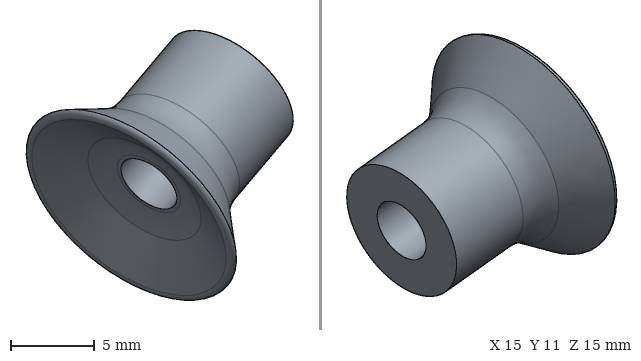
import cadquery as cq
import math

LENGTH = 11.0
LIP_OUTER_RADIUS = 7.5
NECK_RADIUS = 4.5
BORE_RADIUS = 2.0
SEAT_RADIUS = 2.27

FLARE_ANGLE = math.radians(40)
FLARE_BLEND = 3.5
CUP_ANGLE = math.radians(30)
CUP_BLEND = 3.57
LIP_ROUND = 0.36


def arc_point(centre, radius, angle):
    """Point (y, r) on an arc; the angle is measured from the outward radial direction toward +Y."""
    centre_y, centre_r = centre
    return (centre_y + radius * math.sin(angle), centre_r + radius * math.cos(angle))


def make_profile():
    """Half section in the YZ plane, with points given as (y, r)."""
    lip_centre = (LIP_ROUND, LIP_OUTER_RADIUS - LIP_ROUND)
    lip_outer = arc_point(lip_centre, LIP_ROUND, 0)
    lip_front = arc_point(lip_centre, LIP_ROUND, -math.pi / 2)
    lip_inner = arc_point(lip_centre, LIP_ROUND, -math.pi / 2 - CUP_ANGLE)

    flare_centre_r = NECK_RADIUS + FLARE_BLEND
    cone_top_r = flare_centre_r - FLARE_BLEND * math.cos(FLARE_ANGLE)
    cone_top_y = lip_outer[0] + (lip_outer[1] - cone_top_r) / math.tan(FLARE_ANGLE)
    neck_start_y = cone_top_y + FLARE_BLEND * math.sin(FLARE_ANGLE)
    flare_centre = (neck_start_y, flare_centre_r)
    neck_start = arc_point(flare_centre, FLARE_BLEND, math.pi)
    flare_mid = arc_point(flare_centre, FLARE_BLEND, math.pi + FLARE_ANGLE / 2)
    cone_top = arc_point(flare_centre, FLARE_BLEND, math.pi + FLARE_ANGLE)

    cup_arc_r = SEAT_RADIUS + CUP_BLEND * math.sin(CUP_ANGLE)
    cup_arc_y = lip_inner[0] + (lip_inner[1] - cup_arc_r) * math.tan(CUP_ANGLE)
    cup_centre = (cup_arc_y - CUP_BLEND * math.cos(CUP_ANGLE), SEAT_RADIUS)
    cup_start = arc_point(cup_centre, CUP_BLEND, math.pi / 2 - CUP_ANGLE)
    cup_mid = arc_point(cup_centre, CUP_BLEND, math.pi / 2 - CUP_ANGLE / 2)
    seat_edge = arc_point(cup_centre, CUP_BLEND, math.pi / 2)

    return (
        cq.Workplane("YZ")
        .moveTo(LENGTH, BORE_RADIUS)
        .lineTo(LENGTH, NECK_RADIUS)
        .lineTo(*neck_start)
        .threePointArc(flare_mid, cone_top)
        .lineTo(*lip_outer)
        .threePointArc(lip_front, lip_inner)
        .lineTo(*cup_start)
        .threePointArc(cup_mid, seat_edge)
        .lineTo(seat_edge[0], BORE_RADIUS)
        .close()
    )


result = make_profile().revolve(360, (0, 0, 0), (1, 0, 0))